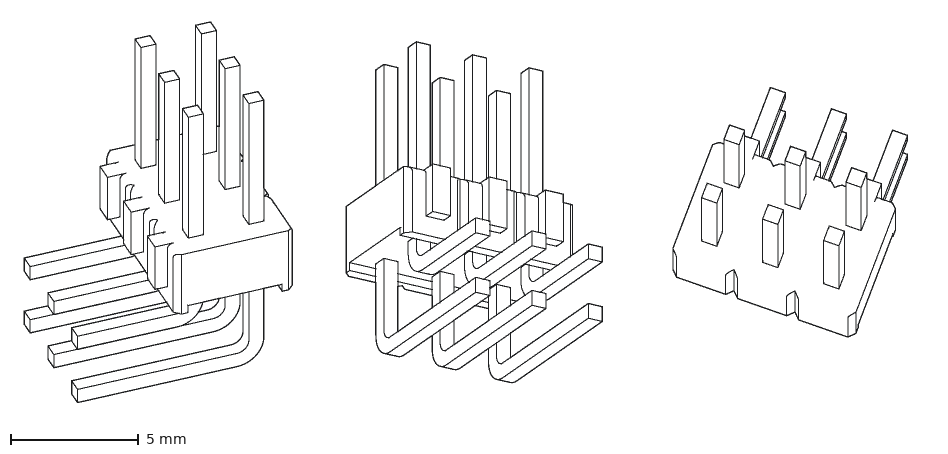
import cadquery as cq


columns = 3
pitch = 2.54
column_places = [(i - (columns - 1) / 2) * pitch for i in range(columns)]

body_length = columns * pitch
body_depth = 5.01
body_height = 2.84
body_bottom = 3.84
body_top = body_bottom + body_height
corner_chamfer = 0.25
top_edge_radius = 0.25

foot_width = 0.52
channel_height = 0.34

key_width = 0.81
key_height = 2.03
key_projection = 0.52

overall_height = 12.46
overall_depth = 8.75
pin_size = 0.64
inner_bend_radius = 0.5
pin_tip_y = body_depth / 2 - overall_depth


def make_cell_block(x):
    """Plain block the size of one body cell."""
    return (
        cq.Workplane("XY", origin=(x, 0, body_bottom))
        .rect(pitch, body_depth)
        .extrude(body_height)
    )


def make_cell(x):
    """One body cell with chamfered upright corners and rounded front and back top edges."""
    chamfered_block = make_cell_block(x).edges("|Z").chamfer(corner_chamfer)
    rounded_block = make_cell_block(x).edges("|X and >Z").fillet(top_edge_radius)
    return chamfered_block.intersect(rounded_block)


def make_key(x):
    """Rib flush with the top of the body, reaching back past the rounded edge."""
    front_y = -body_depth / 2 - key_projection
    back_y = -body_depth / 2 + top_edge_radius
    return (
        cq.Workplane("XY")
        .box(key_width, back_y - front_y, key_height, centered=(True, False, False))
        .translate((x, front_y, body_top - key_height))
    )


def make_pin(x, y, arm_bottom):
    """Square pin running down from the top, then bending forward into a level arm."""
    back = y + pin_size / 2
    front = y - pin_size / 2
    arm_top = arm_bottom + pin_size
    profile = (
        cq.Workplane("YZ", origin=(x - pin_size / 2, 0, 0))
        .moveTo(back, overall_height)
        .lineTo(back, arm_bottom)
        .lineTo(pin_tip_y, arm_bottom)
        .lineTo(pin_tip_y, arm_top)
        .lineTo(front, arm_top)
        .lineTo(front, overall_height)
        .close()
        .extrude(pin_size)
    )
    inner_corner = cq.selectors.NearestToPointSelector((x, front, arm_top))
    outer_corner = cq.selectors.NearestToPointSelector((x, back, arm_bottom))
    pin = profile.edges(inner_corner).fillet(inner_bend_radius)
    return pin.edges(outer_corner).fillet(inner_bend_radius + pin_size)


result = make_cell(column_places[0])
for x in column_places[1:]:
    result = result.union(make_cell(x))

channel = (
    cq.Workplane("XY", origin=(0, 0, body_bottom))
    .rect(body_length, body_depth - 2 * foot_width)
    .extrude(channel_height)
)
result = result.cut(channel)

for x in column_places:
    result = result.union(make_key(x))
    result = result.union(make_pin(x, -pitch / 2, pitch))
    result = result.union(make_pin(x, pitch / 2, 0))